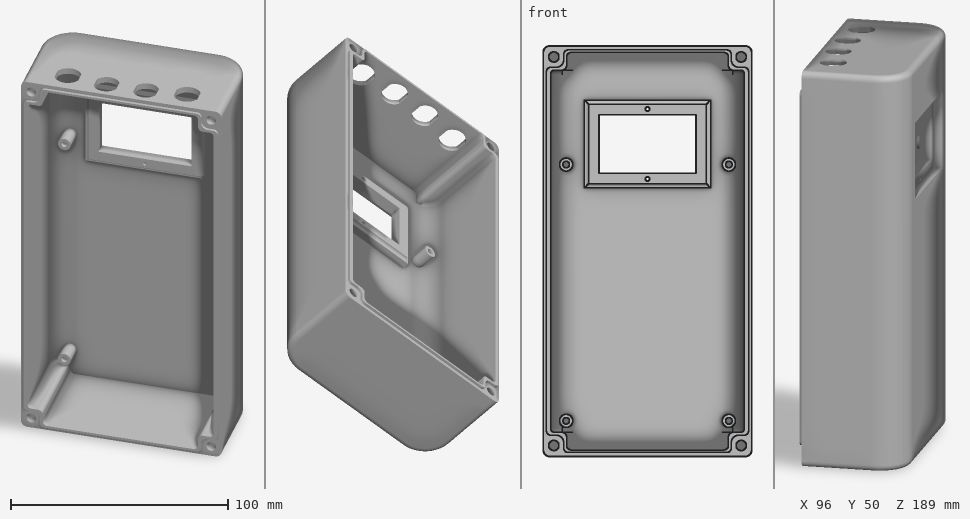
import cadquery as cq

WIDTH = 96.0
DEPTH = 50.0
HEIGHT = 189.0
BACK_Y = DEPTH / 2
FRONT_Y = -DEPTH / 2

LIP_HEIGHT = 1.3
RIM_Y = FRONT_Y + LIP_HEIGHT
BACK_EDGE_RADIUS = 15.1
END_EDGE_RADIUS = 3.0

SIDE_WALL = 3.4
END_WALL = 3.0
BACK_WALL = 4.2
CAVITY_BACK_RADIUS = 10.0
CAVITY_HALF_WIDTH = WIDTH / 2 - SIDE_WALL
CAVITY_HALF_HEIGHT = HEIGHT / 2 - END_WALL
FLOOR_Y = BACK_Y - BACK_WALL

POST_FACE_X = 37.2
POST_FACE_Z = 83.3
POST_EDGE_RADIUS = 2.0
END_CORNER_RADIUS = 2.0
POST_FOOT_RADIUS = 1.9

LIP_HALF_WIDTH = 46.5
LIP_HALF_HEIGHT = 92.6
LIP_NOTCH_X = 38.5
LIP_NOTCH_Z = 84.7
LIP_CORNER_RADIUS = 2.0
LIP_NOTCH_RADIUS = 3.4

SCREW_X = 43.0
SCREW_Z = 89.4
SCREW_DIAMETER = 4.7
SCREW_DEPTH = 15.1

STANDOFF_X = 37.5
STANDOFF_LEVELS = (39.9, -78.0)
STANDOFF_DIAMETER = 6.0
STANDOFF_BORE = 3.0
STANDOFF_TOP_Y = 11.3

WINDOW_Z = 49.3
WINDOW_WIDTH = 44.6
WINDOW_HEIGHT = 26.8
FRAME_WIDTH = 58.0
FRAME_HEIGHT = 40.5
FRAME_TOP_Y = 15.7
FRAME_LEDGE = 0.4
FRAME_COVE_RADIUS = 1.5

BEZEL_WIDTH = FRAME_WIDTH - 2 * (FRAME_LEDGE + FRAME_COVE_RADIUS)
BEZEL_HEIGHT = FRAME_HEIGHT - 2 * (FRAME_LEDGE + FRAME_COVE_RADIUS)
BEZEL_FLOOR_Y = 21.2

WINDOW_SCREW_OFFSET = 16.0
WINDOW_SCREW_DIAMETER = 1.9

OUTER_CABLE_HOLE = (28.5, -13.2, 12.5, 11.3)
INNER_CABLE_HOLE = (9.5, -15.3, 12.1, 10.8)


def block(width, height, y_start, y_end, z_centre=0.0):
    """Box centred on X that spans y_start to y_end."""
    box = cq.Workplane("XY").box(width, y_end - y_start, height)
    return box.translate((0, (y_start + y_end) / 2, z_centre))


def rod(x, z, diameter, y_start, y_end):
    """Cylinder along +Y."""
    plane = cq.Plane(origin=(x, y_start, z), xDir=(1, 0, 0), normal=(0, 1, 0))
    return cq.Workplane(plane).circle(diameter / 2).extrude(y_end - y_start)


def edges_near(points, tolerance=0.2):
    """Selector for edges that run along Y through the given (x, z) points."""
    selector = None
    for x, z in points:
        box = cq.selectors.BoxSelector(
            (x - tolerance, FRONT_Y - DEPTH, z - tolerance),
            (x + tolerance, BACK_Y + DEPTH, z + tolerance),
        )
        selector = box if selector is None else selector + box
    return selector


def corners(x, z):
    """The four (x, z) points mirrored about both axes."""
    return [(i * x, j * z) for i in (-1, 1) for j in (-1, 1)]


def tub(width, height, y_start, y_end, back_radius):
    """Block with its two long back edges rounded."""
    return block(width, height, y_start, y_end).edges("|Z and >Y").fillet(back_radius)


def round_ends(shape, radius):
    """Round the edges of both end faces, except the straight edges at the open front."""
    front_edges = shape.faces("<Y").edges("|X").objects
    end_edges = shape.faces("<Z or >Z").edges().objects
    chosen = [edge for edge in end_edges if not any(edge.isSame(front) for front in front_edges)]
    return shape.newObject(chosen).fillet(radius)


def make_shell():
    shell = tub(WIDTH, HEIGHT, RIM_Y, BACK_Y, BACK_EDGE_RADIUS)
    return round_ends(shell, END_EDGE_RADIUS)


def make_lip():
    lip = block(2 * LIP_HALF_WIDTH, 2 * LIP_NOTCH_Z, FRONT_Y, RIM_Y)
    lip = lip.union(block(2 * LIP_NOTCH_X, 2 * LIP_HALF_HEIGHT, FRONT_Y, RIM_Y))
    notch = edges_near(corners(LIP_NOTCH_X, LIP_NOTCH_Z))
    lip = lip.edges(notch).fillet(LIP_NOTCH_RADIUS)
    tips = corners(LIP_NOTCH_X, LIP_HALF_HEIGHT) + corners(LIP_HALF_WIDTH, LIP_NOTCH_Z)
    return lip.edges(edges_near(tips)).fillet(LIP_CORNER_RADIUS)


def make_cavity():
    cavity = block(2 * CAVITY_HALF_WIDTH, 2 * POST_FACE_Z, FRONT_Y, FLOOR_Y)
    cavity = cavity.union(block(2 * POST_FACE_X, 2 * CAVITY_HALF_HEIGHT, FRONT_Y, FLOOR_Y))
    post_edges = edges_near(corners(POST_FACE_X, POST_FACE_Z))
    end_corners = edges_near(corners(POST_FACE_X, CAVITY_HALF_HEIGHT))
    cavity = cavity.edges(post_edges).fillet(POST_EDGE_RADIUS)
    cavity = cavity.edges(end_corners).fillet(END_CORNER_RADIUS)
    return cavity.cut(make_corner_fill())


def make_corner_fill():
    """Material that rounds the long back corners between the posts and the foot of each post."""
    width = 2 * CAVITY_HALF_WIDTH
    height = 2 * POST_FACE_Z
    space = block(width, height, FRONT_Y, FLOOR_Y)
    rounded_space = tub(width, height, FRONT_Y, FLOOR_Y, CAVITY_BACK_RADIUS)
    between_posts = block(2 * (POST_FACE_X + POST_EDGE_RADIUS), height, FRONT_Y, FLOOR_Y)
    back_corners = space.cut(rounded_space)
    post_feet = space.cut(round_ends(rounded_space, POST_FOOT_RADIUS)).cut(between_posts)
    return back_corners.union(post_feet)


def make_frame():
    """Raised display frame with a concave cove along its four outer edges."""
    step_half_width = FRAME_WIDTH / 2 - FRAME_LEDGE
    step_half_height = FRAME_HEIGHT / 2 - FRAME_LEDGE
    ledge_y = FRAME_TOP_Y + FRAME_COVE_RADIUS
    frame = block(FRAME_WIDTH, FRAME_HEIGHT, ledge_y, BACK_Y, WINDOW_Z)
    frame = frame.union(block(2 * step_half_width, 2 * step_half_height, FRAME_TOP_Y, ledge_y, WINDOW_Z))
    for side in (-1, 1):
        upright = cq.Workplane("XY", origin=(side * step_half_width, FRAME_TOP_Y, WINDOW_Z))
        level = cq.Workplane("YZ", origin=(0, FRAME_TOP_Y, WINDOW_Z + side * step_half_height))
        frame = frame.cut(upright.circle(FRAME_COVE_RADIUS).extrude(FRAME_HEIGHT, both=True))
        frame = frame.cut(level.circle(FRAME_COVE_RADIUS).extrude(FRAME_WIDTH, both=True))
    return frame


def cable_hole(x, y, diameter, flats):
    """Round hole through the +Z wall with a flat on each side in X."""
    wall = cq.Workplane("XY", origin=(x, y, CAVITY_HALF_HEIGHT))
    round_hole = wall.circle(diameter / 2).extrude(END_WALL)
    return round_hole.intersect(wall.rect(flats, diameter).extrude(END_WALL))


body = make_shell().union(make_lip()).cut(make_cavity())

for x, z in corners(SCREW_X, SCREW_Z):
    body = body.cut(rod(x, z, SCREW_DIAMETER, RIM_Y, RIM_Y + SCREW_DEPTH))

for x in (-STANDOFF_X, STANDOFF_X):
    for z in STANDOFF_LEVELS:
        body = body.union(rod(x, z, STANDOFF_DIAMETER, STANDOFF_TOP_Y, FLOOR_Y))
        body = body.cut(rod(x, z, STANDOFF_BORE, STANDOFF_TOP_Y, FLOOR_Y))

body = body.union(make_frame())
body = body.cut(block(BEZEL_WIDTH, BEZEL_HEIGHT, BEZEL_FLOOR_Y, BACK_Y, WINDOW_Z))
body = body.cut(block(WINDOW_WIDTH, WINDOW_HEIGHT, FRAME_TOP_Y, BACK_Y, WINDOW_Z))
for side in (-1, 1):
    screw_z = WINDOW_Z + side * WINDOW_SCREW_OFFSET
    body = body.cut(rod(0, screw_z, WINDOW_SCREW_DIAMETER, FRAME_TOP_Y, BACK_Y))

for x, y, diameter, flats in (OUTER_CABLE_HOLE, INNER_CABLE_HOLE):
    for side in (-1, 1):
        body = body.cut(cable_hole(side * x, y, diameter, flats))

result = body